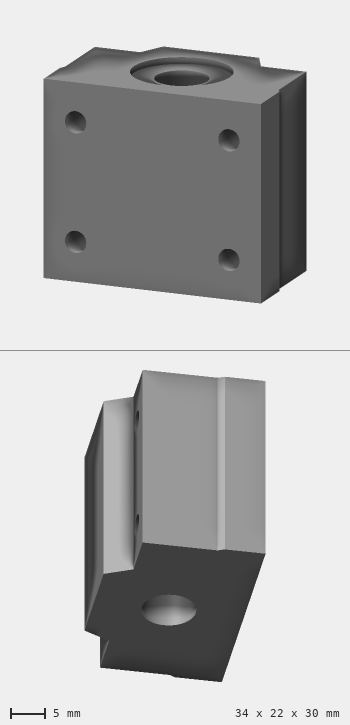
import cadquery as cq

width = 34.0
depth = 22.0
height = 30.0

pad_height = 4.0
pad_top_width = 15.0
pad_base_width = 18.9
shoulder_y = depth - pad_height

step_inset = 0.45
step_rise = 1.0
left_step_y = 6.0
right_step_y = 6.95
right_step_rise = 0.75

bore_diameter = 8.0
bore_y = 11.0
recess_diameter = 15.0
recess_depth = 1.0

hole_diameter = 3.33
hole_spacing_x = 24.0
hole_spacing_z = 18.0


def make_body():
    """Extrude the stepped outline along Z."""
    side = width / 2
    upper_side = side - step_inset
    outline = [
        (-side, 0),
        (side, 0),
        (side, right_step_y),
        (upper_side, right_step_y + right_step_rise),
        (upper_side, shoulder_y),
        (pad_base_width / 2, shoulder_y),
        (pad_top_width / 2, depth),
        (-pad_top_width / 2, depth),
        (-pad_base_width / 2, shoulder_y),
        (-upper_side, shoulder_y),
        (-upper_side, left_step_y + step_rise),
        (-side, left_step_y),
    ]
    return (
        cq.Workplane("XY")
        .workplane(offset=-height / 2)
        .polyline(outline)
        .close()
        .extrude(height)
    )


def make_bore():
    """Through bore with a recess at the upper end."""
    bore = cq.Workplane("XY").center(0, bore_y).circle(bore_diameter / 2).extrude(height, both=True)
    recess = (
        cq.Workplane("XY")
        .workplane(offset=height / 2 - recess_depth)
        .center(0, bore_y)
        .circle(recess_diameter / 2)
        .extrude(recess_depth)
    )
    return bore.union(recess)


def make_mounting_holes():
    """Four holes in a rectangular pattern on the mounting face."""
    return (
        cq.Workplane("XZ")
        .rarray(hole_spacing_x, hole_spacing_z, 2, 2)
        .circle(hole_diameter / 2)
        .extrude(-depth)
    )


result = make_body().cut(make_bore()).cut(make_mounting_holes())